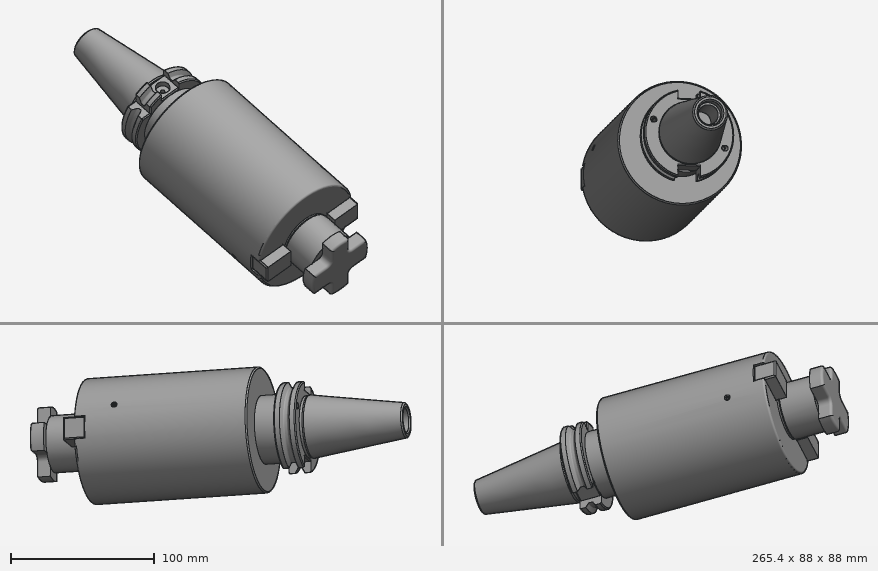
import cadquery as cq
import math

gauge_diameter = 44.45
taper_length = 68.4
taper_ratio = 7 / 24
shank_end_chamfer = 1.0
relief_depth = 0.5
relief_slope_length = 1.2

flange_gap = 3.2
flange_diameter = 63.55
flange_thickness = 15.9
flange_chamfer = 0.85
groove_offset = 11.1
groove_width = 7.1
groove_depth = 3.7
groove_half_angle = 30
groove_fillet = 1.0
slot_width = 16.1
slot_floor_top = 25.0
slot_floor_bottom = 22.8
index_notch_offset = 18.5

chip_diameter = 10.0
chip_depth = 4.6
chip_drill_diameter = 3.0
chip_drill_depth = 4.0

bore_mouth_diameter = 19.0
bore_mouth_chamfer = 1.0
counterbore_diameter = 17.0
counterbore_depth = 7.0
bore_diameter = 14.0
bore_depth = 32.0

neck_diameter = 48.0
neck_length = 15.9
body_diameter = 88.0
body_length = 125.0
body_rear_chamfer = 1.0
body_front_fillet = 1.5
pilot_diameter = 40.0
pilot_length = 27.0
pilot_relief_length = 2.0
pilot_relief_depth = 0.5
pilot_relief_slope_length = 0.8

key_width = 16.0
key_length = 16.0
key_protrusion = 8.0
key_outer = 42.6
key_inner = 20.5
key_chamfer = 1.0

head_diameter = 52.0
head_thickness = 10.0
head_fillet = 2.0
upright_arm_half_width = 8.0
level_arm_half_width = 10.0
arm_fillet = 4.0
thread_diameter = 20.0
thread_length = 30.0

coolant_angle = 20
coolant_circle_radius = 27.0
coolant_inclination = 25
coolant_mouth_diameter = 4.0
coolant_mouth_depth = 2.5
coolant_drill_diameter = 2.5
coolant_depth = 10.0

plug_x = 200.0
plug_diameter = 4.0
plug_length = 4.0
plug_recess = 0.5
plug_socket = 2.0
plug_socket_depth = 1.5

gauge_radius = gauge_diameter / 2
shank_end_radius = gauge_radius - taper_length * taper_ratio / 2
flange_radius = flange_diameter / 2
flange_start = taper_length + flange_gap
flange_end = flange_start + flange_thickness
groove_x = taper_length + groove_offset
groove_half_width = groove_width / 2
groove_floor_half_width = groove_half_width - groove_depth * math.tan(
    math.radians(groove_half_angle)
)
body_start = flange_end + neck_length
body_end = body_start + body_length
pilot_end = body_end + pilot_length
key_start = body_end + key_protrusion - key_length


def box(x_range, y_range, z_range):
    """Box between the given pairs of limits."""
    sizes = [high - low for low, high in (x_range, y_range, z_range)]
    return (
        cq.Workplane("XY")
        .box(*sizes, centered=False)
        .translate((x_range[0], y_range[0], z_range[0]))
    )


def rod(start, end, diameter):
    """Solid cylinder on the tool axis."""
    return cq.Workplane("YZ", origin=(start, 0, 0)).circle(diameter / 2).extrude(end - start)


def half_turns(shape):
    """The shape and its copy half a turn round the tool axis."""
    return [shape.rotate((0, 0, 0), (1, 0, 0), angle) for angle in (0, 180)]


def make_shank():
    relief_radius = gauge_radius - relief_depth
    return (
        cq.Workplane("XY")
        .polyline([
            (0, 0),
            (0, shank_end_radius - shank_end_chamfer),
            (shank_end_chamfer, shank_end_radius + shank_end_chamfer * taper_ratio / 2),
            (taper_length, gauge_radius),
            (taper_length + relief_slope_length, relief_radius),
            (flange_start, relief_radius),
            (flange_start, 0),
        ])
        .close()
        .revolve(360, (0, 0, 0), (1, 0, 0))
    )


def floor_slot(floor):
    """Upward-opening cut right through the flange, with its floor chamfered at both flange faces."""
    return (
        cq.Workplane("XZ", origin=(0, slot_width / 2, 0))
        .polyline([
            (flange_start, floor - flange_chamfer),
            (flange_start + flange_chamfer, floor),
            (flange_end - flange_chamfer, floor),
            (flange_end, floor - flange_chamfer),
            (flange_end, flange_diameter),
            (flange_start, flange_diameter),
        ])
        .close()
        .extrude(slot_width)
    )


def make_gripper_groove():
    ring = (
        cq.Workplane("XY")
        .polyline([
            (groove_x - groove_half_width, flange_radius),
            (groove_x - groove_floor_half_width, flange_radius - groove_depth),
            (groove_x + groove_floor_half_width, flange_radius - groove_depth),
            (groove_x + groove_half_width, flange_radius),
        ])
        .close()
        .revolve(360, (0, 0, 0), (1, 0, 0))
    )
    floor_circles = cq.selectors.RadiusNthSelector(0)
    return ring.edges(floor_circles).fillet(groove_fillet)


def make_flange():
    index_notch = box(
        (flange_start, flange_end),
        (-flange_diameter, -index_notch_offset),
        (index_notch_offset, flange_diameter),
    )
    upper_slot = floor_slot(slot_floor_top)
    lower_slot = floor_slot(slot_floor_bottom).rotate((0, 0, 0), (1, 0, 0), 180)
    flange = rod(flange_start, flange_end, flange_diameter).cut(index_notch)
    flange = flange.faces("<X or >X").edges().chamfer(flange_chamfer)
    return flange.cut(make_gripper_groove()).cut(upper_slot).cut(lower_slot)


def make_chip_pocket():
    chip_floor = slot_floor_top - chip_depth
    chip_pocket = (
        cq.Workplane("XY", origin=(groove_x, 0, slot_floor_top)).circle(chip_diameter / 2).extrude(-chip_depth)
    )
    chip_drill = (
        cq.Workplane("XY", origin=(groove_x, 0, chip_floor))
        .circle(chip_drill_diameter / 2).extrude(-chip_drill_depth)
    )
    return chip_pocket.union(chip_drill)


def make_draw_bolt_bore():
    mouth_radius = bore_mouth_diameter / 2
    counterbore_radius = counterbore_diameter / 2
    bore_radius = bore_diameter / 2
    return (
        cq.Workplane("XY")
        .polyline([
            (0, 0),
            (0, mouth_radius),
            (bore_mouth_chamfer, counterbore_radius),
            (counterbore_depth, counterbore_radius),
            (counterbore_depth, bore_radius),
            (bore_depth, bore_radius),
            (bore_depth, 0),
        ])
        .close()
        .revolve(360, (0, 0, 0), (1, 0, 0))
    )


def make_neck():
    return rod(flange_end, body_start, neck_diameter)


def make_body():
    body = rod(body_start, body_end, body_diameter)
    body = body.faces("<X").edges().chamfer(body_rear_chamfer)
    return body.faces(">X").edges().fillet(body_front_fillet)


def make_pilot():
    pilot_radius = pilot_diameter / 2
    relief_radius = pilot_radius - pilot_relief_depth
    relief_end = body_end + pilot_relief_length
    return (
        cq.Workplane("XY")
        .polyline([
            (body_end, 0),
            (body_end, relief_radius),
            (relief_end - pilot_relief_slope_length, relief_radius),
            (relief_end, pilot_radius),
            (pilot_end, pilot_radius),
            (pilot_end, 0),
        ])
        .close()
        .revolve(360, (0, 0, 0), (1, 0, 0))
    )


def make_coolant_hole():
    """Stepped hole that leans towards the tool axis; it begins just outside the flange face."""
    overshoot = coolant_mouth_diameter
    hole = rod(-overshoot, coolant_mouth_depth, coolant_mouth_diameter)
    hole = hole.union(rod(coolant_mouth_depth, coolant_depth, coolant_drill_diameter))
    return (
        hole.rotate((0, 0, 0), (0, 0, 1), coolant_inclination)
        .translate((flange_start, -coolant_circle_radius, 0))
        .rotate((0, 0, 0), (1, 0, 0), coolant_angle)
    )


def make_plug_hole():
    return (
        cq.Workplane("XZ", origin=(plug_x, -body_diameter / 2, 0))
        .circle(plug_diameter / 2)
        .extrude(-plug_recess - plug_length)
        .rotate((0, 0, 0), (1, 0, 0), coolant_angle)
    )


def make_key_slot():
    return box((key_start, body_end), (-body_diameter, -key_inner), (-key_width / 2, key_width / 2))


def make_screw_hole():
    return rod(pilot_end - thread_length, pilot_end, thread_diameter)


def make_holder():
    holder = make_shank().union(make_flange())
    holder = holder.union(make_neck()).union(make_body()).union(make_pilot())
    holder = holder.cut(make_draw_bolt_bore()).cut(make_chip_pocket()).cut(make_screw_hole())
    for cutter in (make_coolant_hole(), make_plug_hole(), make_key_slot()):
        for copy in half_turns(cutter):
            holder = holder.cut(copy)
    return holder


def make_plug():
    face = cq.Workplane("XZ", origin=(plug_x, plug_recess - body_diameter / 2, 0))
    blank = face.circle(plug_diameter / 2).extrude(-plug_length)
    socket = face.polygon(6, plug_socket, circumscribed=True).extrude(-plug_socket_depth)
    return blank.cut(socket).rotate((0, 0, 0), (1, 0, 0), coolant_angle)


def make_key():
    return (
        box((key_start, key_start + key_length), (-key_outer, -key_inner), (-key_width / 2, key_width / 2))
        .faces("<Y")
        .chamfer(key_chamfer)
    )


def make_arm_gap(side, level):
    """Round-cornered gap between two neighbouring arms of the screw head."""
    gap = (
        box(
            (pilot_end, pilot_end + head_thickness),
            (upright_arm_half_width, head_diameter),
            (level_arm_half_width, head_diameter),
        )
        .edges("|X and <Y and <Z")
        .fillet(arm_fillet)
    )
    if side < 0:
        gap = gap.mirror("XZ")
    if level < 0:
        gap = gap.mirror("XY")
    return gap


def make_retaining_screw():
    head = rod(pilot_end, pilot_end + head_thickness, head_diameter)
    for side in (-1, 1):
        for level in (-1, 1):
            head = head.cut(make_arm_gap(side, level))
    head = head.faces(">X").edges().fillet(head_fillet)
    return head.union(rod(pilot_end - thread_length, pilot_end, thread_diameter))


holder = make_holder()
screw = make_retaining_screw()
keys = half_turns(make_key())
plugs = half_turns(make_plug())

result = cq.Compound.makeCompound([
    holder.val(),
    screw.val(),
    *[key.val() for key in keys],
    *[plug.val() for plug in plugs],
])